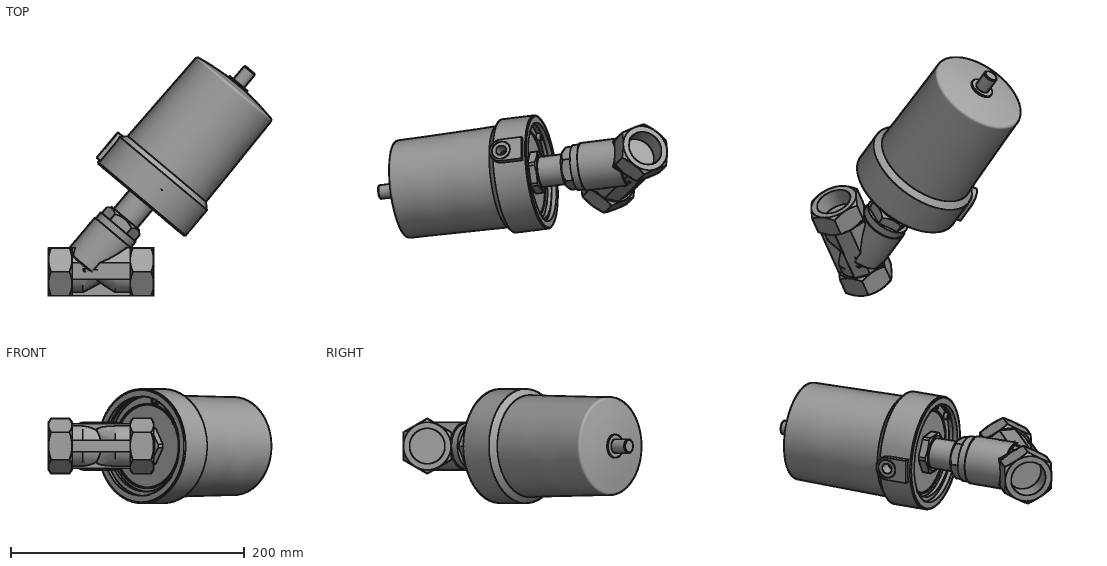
import cadquery as cq
import math

VALVE_LENGTH = 90.0
HEX_FLATS = 41.0
HEX_CHAMFER = 3.3
HEX_CHAMFER_RUN = 2.2
NUT_LENGTH = 20.2
BORE_DIA = 30.4
BORE_DEPTH = 16.3
WAIST_THICKNESS = 38.3
WAIST_FLOOR = -6.3
PIPE_RADIUS = 18.3
RIB_THICKNESS = 9.8
SADDLE_LEFT = -15.9
SADDLE_RIGHT = 12.2
SADDLE_RADIUS = 19.8
SADDLE_HEIGHT = 3.7
NECK_RADIUS = 20.5
NECK_RIM_RADIUS = 19.5
NECK_START = 5.7
NECK_EDGE = 0.6
NECK_SHOULDER = 43.5
NECK_TOP = 50.1

STEM_ANGLE = 50.0
STEM_X = -17.5

BONNET_FLATS = 32.0
BONNET_HEX_TOP = 59.7
TUBE_DIA = 26.0
LOCK_HEX_FLATS = 32.5
LOCK_HEX_START = 81.0
HEX_FACE_DIA = 30.4
NECK_HEX_BEVEL = 3.0
LOCK_HEX_BEVEL = 1.5
LOCK_CORNER_FLAT = 2.9

COLLAR_START = 80.5
COLLAR_DIA = 98.0
COLLAR_EDGE = 1.0
COLLAR_END = 110.0
BEVEL_END = 115.0
HOUSING_BASE_RADIUS = 43.8
HOUSING_TOP_RADIUS = 42.2
HOUSING_SHOULDER = 203.0
ROUND_RADIUS = 41.8
ROUND_HEIGHT = 204.5
DOME_EDGE_RADIUS = 40.2
DOME_EDGE = 205.5
DOME_MID_RADIUS = 26.5
DOME_MID = 207.5
DOME_TOP = 209.1
RECESS_DIA = 85.0

PORT_FACE = 52.4
PORT_WIDTH = 20.2
PORT_START = 83.5
PORT_CENTRE = 102.0
PORT_DIA = 8.8
PORT_DEPTH = 12.2
SEAL_DIA = 16.0
SEAL_DEPTH = 0.5

COVER_FACE = 88.3
COVER_THICKNESS = 10.2
COVER_GROOVE_RADIUS = 36.3
COVER_GROOVE_WIDTH = 1.0
COVER_GROOVE_DEPTH = 0.8
RING_FACE = 84.5
RING_OUTER_RADIUS = 44.0
RING_INNER_RADIUS = 40.8
RING_OFFSET = 2.2
GAP_ANGLE = 127.0
EAR_HALF_ANGLE = 21.0
EAR_PITCH_RADIUS = 40.4
EAR_RADIUS = 3.0
EAR_HOLE_DIA = 3.5

FLANGE_DIA = 20.0
FLANGE_TOP = 210.5
PIN_DIA = 12.0
PIN_TOP = 225.6
PIN_EDGE = 0.8

angle = math.radians(STEM_ANGLE)
STEM_PLANE = cq.Plane(
    origin=(STEM_X, 0, 0),
    xDir=(-math.sin(angle), math.cos(angle), 0),
    normal=(math.cos(angle), math.sin(angle), 0),
)


def on_stem(local):
    """Move a shape built along local Z onto the stem axis; local X is the port side, local Y is +Z."""
    return cq.Workplane(local.val().moved(STEM_PLANE.location))


def disc(radius, start, end):
    return cq.Workplane("XY").workplane(offset=start).circle(radius).extrude(end - start)


def turned(points):
    """Solid of revolution about local Z from (radius, height) points."""
    return cq.Workplane("XZ").polyline(points).close().revolve(360, (0, 0), (0, 1))


def hexagon(flats, start, end):
    corner_dia = flats / math.cos(math.pi / 6)
    return cq.Workplane("XY").workplane(offset=start).polygon(6, corner_dia).extrude(end - start)


def make_valve_body():
    half = VALVE_LENGTH / 2
    inner = half - NUT_LENGTH
    corner_radius = HEX_FLATS / 2 / math.cos(math.pi / 6)

    bar = (
        cq.Workplane("YZ").workplane(offset=-half)
        .transformed(rotate=(0, 0, 90))
        .polygon(6, 2 * corner_radius).extrude(VALVE_LENGTH)
    )

    bevel_radius = corner_radius - HEX_CHAMFER
    nuts = None
    for start in (-half, inner):
        end = start + NUT_LENGTH
        envelope = (
            cq.Workplane("XY")
            .polyline([
                (start, 0),
                (start, bevel_radius),
                (start + HEX_CHAMFER_RUN, corner_radius),
                (end - HEX_CHAMFER_RUN, corner_radius),
                (end, bevel_radius),
                (end, 0),
            ])
            .close().revolve(360, (0, 0), (1, 0))
        )
        nut = bar.intersect(envelope)
        nuts = nut if nuts is None else nuts.union(nut)

    waist_height = HEX_FLATS / 2 - WAIST_FLOOR
    waist = bar.intersect(
        cq.Workplane("XY").box(2 * inner, waist_height, WAIST_THICKNESS)
        .translate((0, WAIST_FLOOR + waist_height / 2, 0))
    )
    rib = (
        cq.Workplane("XY").box(2 * inner, HEX_FLATS / 2, RIB_THICKNESS)
        .translate((0, -HEX_FLATS / 4, 0))
    )
    body = nuts.union(waist).union(rib).union(make_saddle_pipe(inner))

    neck = turned([
        (0, NECK_START),
        (NECK_RADIUS - NECK_EDGE, NECK_START),
        (NECK_RADIUS, NECK_START + NECK_EDGE),
        (NECK_RADIUS, NECK_SHOULDER),
        (NECK_RIM_RADIUS, NECK_SHOULDER),
        (NECK_RIM_RADIUS, NECK_TOP),
        (0, NECK_TOP),
    ])
    body = body.union(on_stem(neck))

    for side in (-1, 1):
        bore = (
            cq.Workplane("YZ").workplane(offset=side * half)
            .circle(BORE_DIA / 2).extrude(-side * BORE_DEPTH)
        )
        body = body.cut(bore)
    return body


def lower_half_disc(plane, radius):
    """Closed outline of the half disc on the plane's negative X side."""
    return (
        cq.Workplane(plane)
        .moveTo(0, radius)
        .threePointArc((-radius, 0), (0, -radius))
        .close().val()
    )


def make_saddle_pipe(inner):
    """Round pipe between the nuts, pinched on its -Y side at the valve seat."""
    left_length = SADDLE_LEFT + inner
    right_length = inner - SADDLE_RIGHT
    left_pipe = cq.Workplane("YZ").workplane(offset=-inner).circle(PIPE_RADIUS).extrude(left_length)
    right_pipe = cq.Workplane("YZ").workplane(offset=SADDLE_RIGHT).circle(PIPE_RADIUS).extrude(right_length)
    pipe = left_pipe.union(right_pipe)

    seat_plane = cq.Plane(
        origin=STEM_PLANE.toWorldCoords((0, 0, SADDLE_HEIGHT)),
        xDir=STEM_PLANE.xDir,
        normal=STEM_PLANE.zDir,
    )
    seat = lower_half_disc(seat_plane, SADDLE_RADIUS)
    for end in (SADDLE_LEFT, SADDLE_RIGHT):
        end_plane = cq.Plane(origin=(end, 0, 0), xDir=(0, 1, 0), normal=(1, 0, 0))
        round_end = lower_half_disc(end_plane, PIPE_RADIUS)
        pipe = pipe.union(cq.Workplane(cq.Solid.makeLoft([round_end, seat], True)))
    return pipe


def make_bonnet():
    corner_radius = LOCK_HEX_FLATS / math.sqrt(3)
    neck_corner = BONNET_FLATS / math.sqrt(3)
    face_radius = HEX_FACE_DIA / 2

    neck_hex = hexagon(BONNET_FLATS, NECK_TOP, BONNET_HEX_TOP).intersect(turned([
        (0, NECK_TOP),
        (neck_corner, NECK_TOP),
        (neck_corner, BONNET_HEX_TOP - NECK_HEX_BEVEL),
        (face_radius, BONNET_HEX_TOP),
        (0, BONNET_HEX_TOP),
    ]))
    lock_hex = hexagon(LOCK_HEX_FLATS, LOCK_HEX_START, COVER_FACE).intersect(turned([
        (0, LOCK_HEX_START),
        (face_radius, LOCK_HEX_START),
        (corner_radius, LOCK_HEX_START + LOCK_HEX_BEVEL),
        (corner_radius, COVER_FACE),
        (0, COVER_FACE),
    ]))
    corner_cut = LOCK_CORNER_FLAT / 2 * math.tan(math.pi / 6)
    lock_hex = lock_hex.intersect(
        hexagon(2 * (corner_radius - corner_cut), LOCK_HEX_START, COVER_FACE)
        .rotate((0, 0, 0), (0, 0, 1), 30)
    )
    tube = disc(TUBE_DIA / 2, BONNET_HEX_TOP, LOCK_HEX_START)
    return on_stem(neck_hex.union(tube).union(lock_hex))


def make_housing():
    collar_radius = COLLAR_DIA / 2
    shell = (
        cq.Workplane("XZ")
        .moveTo(0, COLLAR_START)
        .lineTo(collar_radius - COLLAR_EDGE, COLLAR_START)
        .lineTo(collar_radius, COLLAR_START + COLLAR_EDGE)
        .lineTo(collar_radius, COLLAR_END)
        .lineTo(HOUSING_BASE_RADIUS, BEVEL_END)
        .lineTo(HOUSING_TOP_RADIUS, HOUSING_SHOULDER)
        .threePointArc((ROUND_RADIUS, ROUND_HEIGHT), (DOME_EDGE_RADIUS, DOME_EDGE))
        .threePointArc((DOME_MID_RADIUS, DOME_MID), (FLANGE_DIA / 2, DOME_TOP))
        .lineTo(0, DOME_TOP)
        .close().revolve(360, (0, 0), (0, 1))
    )

    block = (
        cq.Workplane("YZ")
        .moveTo(-PORT_WIDTH / 2, PORT_START)
        .lineTo(PORT_WIDTH / 2, PORT_START)
        .lineTo(PORT_WIDTH / 2, PORT_CENTRE)
        .threePointArc((0, PORT_CENTRE + PORT_WIDTH / 2), (-PORT_WIDTH / 2, PORT_CENTRE))
        .close().extrude(PORT_FACE)
    )
    port_face = cq.Workplane("YZ").workplane(offset=PORT_FACE).center(0, PORT_CENTRE)
    shell = shell.union(block)
    shell = shell.cut(port_face.circle(PORT_DIA / 2).extrude(-PORT_DEPTH))
    shell = shell.cut(port_face.circle(SEAL_DIA / 2).extrude(-SEAL_DEPTH))

    shell = shell.cut(disc(RECESS_DIA / 2, COLLAR_START, COVER_FACE + COVER_THICKNESS))
    shell = shell.cut(disc(RING_OUTER_RADIUS, RING_FACE, COVER_FACE))
    return on_stem(shell)


def make_cover():
    plate = disc(RECESS_DIA / 2, COVER_FACE, COVER_FACE + COVER_THICKNESS)
    groove_end = COVER_FACE + COVER_GROOVE_DEPTH
    groove = disc(COVER_GROOVE_RADIUS, COVER_FACE, groove_end).cut(
        disc(COVER_GROOVE_RADIUS - COVER_GROOVE_WIDTH, COVER_FACE, groove_end)
    )
    return on_stem(plate.cut(groove))


def polar(radius, degrees):
    return (radius * math.cos(math.radians(degrees)), radius * math.sin(math.radians(degrees)))


def make_retaining_ring():
    thickness = COVER_FACE - RING_FACE
    flat = cq.Workplane("XY").workplane(offset=RING_FACE)
    opening = flat.center(*polar(RING_OFFSET, GAP_ANGLE)).circle(RING_INNER_RADIUS).extrude(thickness)
    gap = (
        flat.polyline([
            (0, 0),
            polar(2 * RING_OUTER_RADIUS, GAP_ANGLE - EAR_HALF_ANGLE),
            polar(2 * RING_OUTER_RADIUS, GAP_ANGLE + EAR_HALF_ANGLE),
        ])
        .close().extrude(thickness)
    )
    blank = flat.circle(RING_OUTER_RADIUS).extrude(thickness)
    ring = blank.cut(opening).cut(gap)
    ears = [polar(EAR_PITCH_RADIUS, GAP_ANGLE + side * EAR_HALF_ANGLE) for side in (-1, 1)]
    ring = ring.union(flat.pushPoints(ears).circle(EAR_RADIUS).extrude(thickness).intersect(blank))
    ring = ring.cut(flat.pushPoints(ears).circle(EAR_HOLE_DIA / 2).extrude(thickness))
    return on_stem(ring)


def make_indicator():
    pin_radius = PIN_DIA / 2
    return on_stem(turned([
        (0, DOME_TOP),
        (FLANGE_DIA / 2, DOME_TOP),
        (FLANGE_DIA / 2, FLANGE_TOP),
        (pin_radius, FLANGE_TOP),
        (pin_radius, PIN_TOP - PIN_EDGE),
        (pin_radius - PIN_EDGE, PIN_TOP),
        (0, PIN_TOP),
    ]))


valve_body = make_valve_body()
bonnet = make_bonnet()
housing = make_housing()
cover = make_cover()
retaining_ring = make_retaining_ring()
indicator = make_indicator()

result = cq.Compound.makeCompound([
    valve_body.val(),
    bonnet.val(),
    housing.val(),
    cover.val(),
    retaining_ring.val(),
    indicator.val(),
])